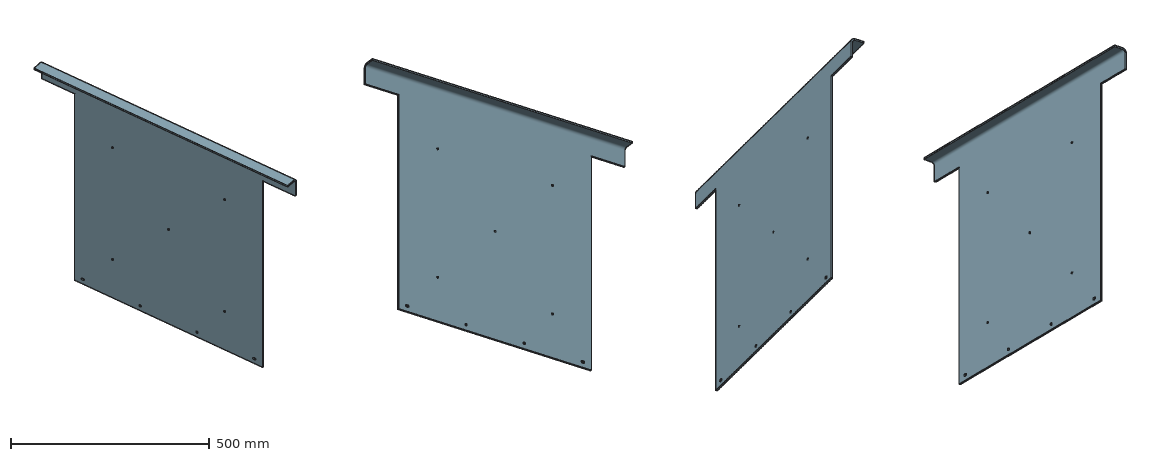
import cadquery as cq

width = 787.5
depth = 38.0
height = 672.0

thickness = 4.95
bend_outer_radius = 12.5
bend_inner_radius = bend_outer_radius - thickness

panel_width = 584.0
strip_height = 57.5

small_hole_diameter = 4.9
small_hole_center_z = 310.0
small_hole_offset_x = 174.0
small_hole_offset_z = 184.0

row_hole_diameter = 6.4
row_z = 16.0
row_hole_offset_x = 88.0
slot_offset_x = 266.0
slot_length = 9.5


def make_bent_sheet():
    """Full-width sheet with its back face at Y = depth and a flange toward -Y."""
    profile = (
        cq.Workplane("YZ")
        .moveTo(depth, 0)
        .lineTo(depth, height - bend_outer_radius)
        .radiusArc((depth - bend_outer_radius, height), -bend_outer_radius)
        .lineTo(0, height)
        .lineTo(0, height - thickness)
        .lineTo(depth - bend_outer_radius, height - thickness)
        .radiusArc((depth - thickness, height - bend_outer_radius), bend_inner_radius)
        .lineTo(depth - thickness, 0)
        .close()
    )
    return profile.extrude(width / 2, both=True)


def make_side_cutout(side):
    """Block that narrows the sheet below the ear on one side (-1 or 1)."""
    cut_width = (width - panel_width) / 2
    center_x = side * (panel_width + cut_width) / 2
    return (
        cq.Workplane("XY")
        .center(center_x, depth / 2)
        .rect(cut_width, depth)
        .extrude(height - strip_height)
    )


def make_small_holes():
    centers = [(0, small_hole_center_z)]
    for side in (-1, 1):
        for level in (-1, 1):
            z = small_hole_center_z + level * small_hole_offset_z
            centers.append((side * small_hole_offset_x, z))
    return cq.Workplane("XZ").pushPoints(centers).circle(small_hole_diameter / 2).extrude(-depth)


def make_bottom_row():
    hole_centers = [(side * row_hole_offset_x, row_z) for side in (-1, 1)]
    slot_centers = [(side * slot_offset_x, row_z) for side in (-1, 1)]
    plane = cq.Workplane("XZ")
    holes = plane.pushPoints(hole_centers).circle(row_hole_diameter / 2).extrude(-depth)
    slots = plane.pushPoints(slot_centers).slot2D(slot_length, row_hole_diameter).extrude(-depth)
    return holes.union(slots)


sheet = make_bent_sheet()
for side in (-1, 1):
    sheet = sheet.cut(make_side_cutout(side))

result = sheet.cut(make_small_holes()).cut(make_bottom_row())